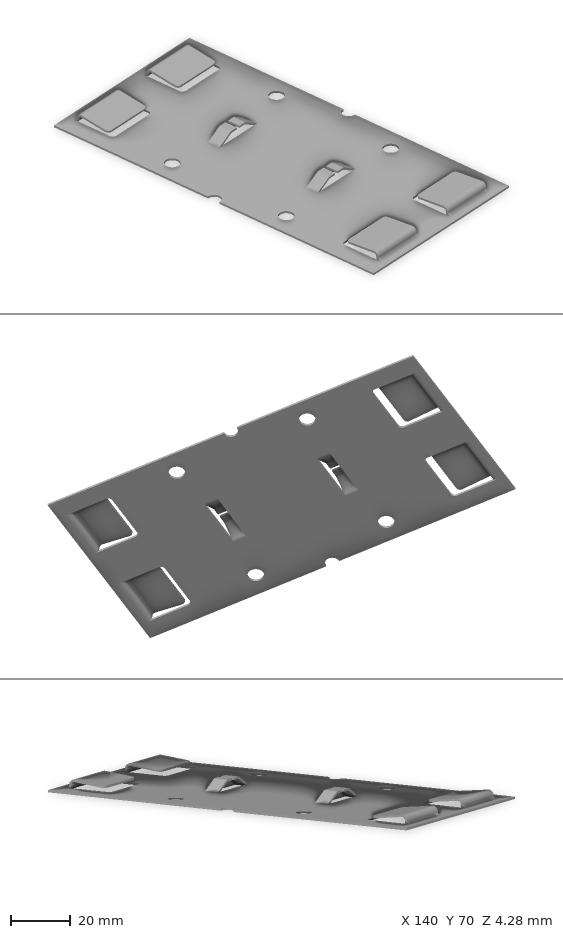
import math
import cadquery as cq

length = 140.0
width = 70.0
thickness = 0.8
inner_radius = 1.0
mid_radius = inner_radius + thickness / 2

hole_diameter = 5.5
hole_x = 25.0
hole_y = 27.0
notch_width = 5.0
notch_depth = 2.8

tab_root_x = length / 2 - 3.0
tab_width = 20.0
tab_y = 18.0
tab_reach = 14.9
tab_corner_radius = 1.5
tab_window_length = 17.0
tab_window_radius = 1.5
upright_height = 0.15
left_tab_droop = 7.5
right_tab_droop = 5.0
upright_angle = 90.0

finger_x = 21.5
finger_width = 5.0
finger_root_y = 10.0
finger_gap = 1.3
finger_top = 4.28
finger_slope = 30.0


def side_point(x, z, heading, offset):
    """Return the point at a distance to the left of the path point."""
    return (x - offset * math.sin(heading), z + offset * math.cos(heading))


def bent_strip(steps, strip_width):
    """Sheet strip that starts at the origin along +X and follows its mid-plane path.

    Each step is ("flat", length) or ("bend", degrees); a positive bend turns upward.
    The bottom of the first step lies at Z = 0 and the width is centred on Y = 0.
    """
    half = thickness / 2
    x, z, heading = 0.0, half, 0.0
    sections = [(x, z, heading)]
    for kind, amount in steps:
        if kind == "flat":
            x += amount * math.cos(heading)
            z += amount * math.sin(heading)
            sections.append((x, z, heading))
            continue
        turn = math.radians(amount)
        radius = math.copysign(mid_radius, turn)
        centre_x, centre_z = side_point(x, z, heading, radius)
        for fraction in (0.5, 1.0):
            angle = heading + turn * fraction
            x, z = side_point(centre_x, centre_z, angle, -radius)
            sections.append((x, z, angle))
        heading += turn

    upper = [side_point(*section, half) for section in sections]
    lower = [side_point(*section, -half) for section in sections]

    outline = cq.Workplane("XZ").moveTo(*lower[0])
    index = 0
    for kind, _ in steps:
        if kind == "flat":
            index += 1
            outline = outline.lineTo(*lower[index])
        else:
            index += 2
            outline = outline.threePointArc(lower[index - 1], lower[index])
    outline = outline.lineTo(*upper[index])
    for kind, _ in reversed(steps):
        if kind == "flat":
            index -= 1
            outline = outline.lineTo(*upper[index])
        else:
            index -= 2
            outline = outline.threePointArc(upper[index + 1], upper[index])
    return outline.close().extrude(strip_width / 2, both=True)


def make_plate():
    """Flat plate with its round holes and edge notches."""
    plate = cq.Workplane("XY").box(length, width, thickness, centered=(True, True, False))
    holes = [(sx * hole_x, sy * hole_y) for sx in (-1, 1) for sy in (-1, 1)]
    plate = plate.cut(cq.Workplane("XY").pushPoints(holes).circle(hole_diameter / 2).extrude(thickness))
    notch_length = 2 * notch_depth
    notches = cq.Workplane("XY").pushPoints([(0, -width / 2), (0, width / 2)])
    return plate.cut(notches.slot2D(notch_length, notch_width, 90).extrude(thickness))


def make_tab(droop):
    """Tab that folds upright and then over toward +X, falling by the droop angle."""
    fold_angle = upright_angle + droop
    bends_run = mid_radius * (2 + math.sin(math.radians(droop)))
    blade_length = (tab_reach - bends_run) / math.cos(math.radians(droop))
    steps = [
        ("bend", upright_angle),
        ("flat", upright_height),
        ("bend", -fold_angle),
        ("flat", blade_length),
    ]
    tab = bent_strip(steps, tab_width)
    return tab.faces(">X").edges("not |Y").fillet(tab_corner_radius)


def make_tab_window():
    """Opening the tab is folded out of, running from the tab root toward +X."""
    window = cq.Workplane("XY").box(tab_window_length, tab_width, thickness, centered=(False, True, False))
    return window.edges("|Z and >X").fillet(tab_window_radius)


def make_finger():
    """Finger that ramps up from its root toward +X and levels off at the top."""
    slope = math.radians(finger_slope)
    bend_rise = 2 * mid_radius * (1 - math.cos(slope))
    bends_run = 2 * mid_radius * math.sin(slope)
    ramp_rise = finger_top - thickness - bend_rise
    ramp_length = ramp_rise / math.sin(slope)
    ramp_run = ramp_rise / math.tan(slope)
    level_length = finger_root_y - finger_gap / 2 - bends_run - ramp_run
    steps = [("bend", finger_slope), ("flat", ramp_length), ("bend", -finger_slope), ("flat", level_length)]
    return bent_strip(steps, finger_width)


def add_tabs(part):
    """Fold two tabs out of the plate at each end."""
    left_tab = make_tab(left_tab_droop)
    right_tab = make_tab(right_tab_droop).mirror("YZ")
    left_window = make_tab_window()
    right_window = left_window.mirror("YZ")
    for y in (-tab_y, tab_y):
        for x, tab, window in ((-tab_root_x, left_tab, left_window), (tab_root_x, right_tab, right_window)):
            part = part.cut(window.translate((x, y, 0)))
            part = part.union(tab.translate((x, y, 0)))
    return part


def add_fingers(part):
    """Cut the finger windows and raise a finger from each end of them."""
    near_finger = make_finger().rotate((0, 0, 0), (0, 0, 1), 90).translate((0, -finger_root_y, 0))
    far_finger = near_finger.mirror("XZ")
    window = cq.Workplane("XY").box(finger_width, 2 * finger_root_y, thickness, centered=(True, True, False))
    for x in (-finger_x, finger_x):
        part = part.cut(window.translate((x, 0, 0)))
        part = part.union(near_finger.translate((x, 0, 0)))
        part = part.union(far_finger.translate((x, 0, 0)))
    return part


result = add_fingers(add_tabs(make_plate()))